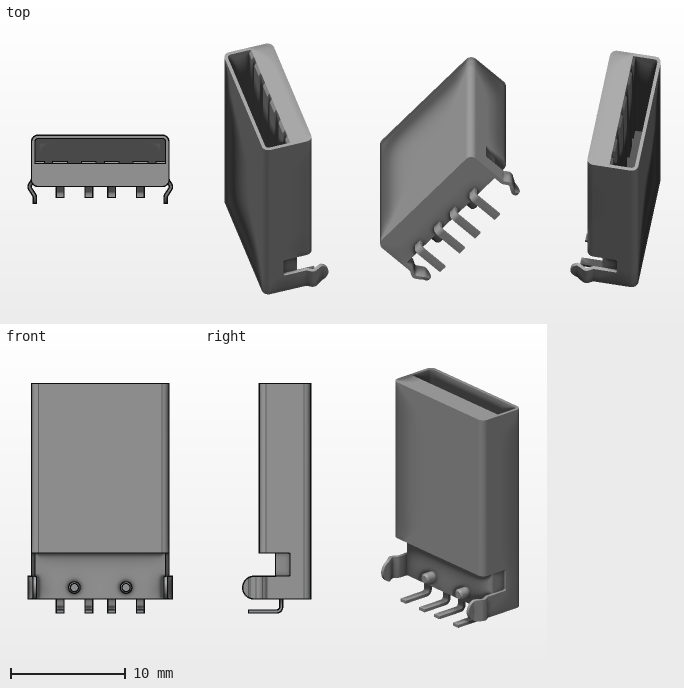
import cadquery as cq
import math


shell_width = 12.0
shell_depth = 4.5
shell_height = 18.8
shell_corner_radius = 0.6
wall = 0.3

cavity_back_corner_radius = shell_corner_radius - wall
cavity_front_y = 2.0
cavity_depth = 12.0

rib_thickness = 0.2
rib_chamfer_angle = math.radians(30)
rib_chamfer_height = rib_thickness / math.tan(rib_chamfer_angle)
rib_width = 1.3
end_rib_width = 0.85

foot_height = 4.0
foot_front_y = 1.4
window_back_y = 2.7
window_corner_radius = 0.15

peg_spacing = 4.5
peg_diameter = 1.0
peg_z = 1.0
peg_length = 1.0
peg_chamfer = 0.15

tab_height = 2.0
tab_span = 12.6
tab_tip_y = -1.45
tab_tip_x = 5.85
tab_apex_y = 0.0
tab_bend_angle = math.radians(32)
tab_inside_radius = 0.2
tab_outside_radius = tab_inside_radius + wall

tail_positions = (-3.5, -1.0, 1.0, 3.5)
tail_width = 0.7
tail_thickness = 0.28
tail_back_y = 2.05
tail_front_y = -0.95
tail_drop = 1.22
tail_inner_radius = 0.25

half_width = shell_width / 2
inner_half_width = half_width - wall


def block(x_range, y_range, z_range):
    """Box spanning the given (low, high) limits."""
    size = [high - low for low, high in (x_range, y_range, z_range)]
    corner = (x_range[0], y_range[0], z_range[0])
    return cq.Workplane("XY").box(*size, centered=False).translate(corner)


def make_body():
    """Shell and insulator as one rounded block."""
    body = block((-half_width, half_width), (0, shell_depth), (0, shell_height))
    return body.edges("|Z").fillet(shell_corner_radius)


def make_cavity():
    """Mating cavity with rounded back corners."""
    cavity = block(
        (-inner_half_width, inner_half_width),
        (cavity_front_y, shell_depth - wall),
        (shell_height - cavity_depth, shell_height),
    )
    return cavity.edges("|Z and >Y").fillet(cavity_back_corner_radius)


def make_rib(x_low, x_high):
    """Vertical rib on the front wall of the cavity, chamfered at the top."""
    rib = block(
        (x_low, x_high),
        (cavity_front_y, cavity_front_y + rib_thickness),
        (shell_height - cavity_depth, shell_height),
    )
    chamfer_profile = [
        (cavity_front_y, shell_height),
        (cavity_front_y + rib_thickness, shell_height),
        (cavity_front_y + rib_thickness, shell_height - rib_chamfer_height),
    ]
    chamfer = cq.Workplane("YZ", origin=(x_low, 0, 0)).polyline(chamfer_profile).close().extrude(x_high - x_low)
    return rib.cut(chamfer)


def make_foot_step():
    """Space in front of the insulator foot, below the front of the shell."""
    return block((-half_width, half_width), (0, foot_front_y), (0, foot_height))


def make_window(side):
    """Cutout through one shell side wall, open to the front; side is -1 or 1."""
    x_limits = sorted((side * inner_half_width, side * half_width))
    window = block(x_limits, (0, window_back_y), (tab_height, foot_height))
    return window.edges("|X and >Y").fillet(window_corner_radius)


def make_tab(side):
    """Round-tipped retention tab continuing one shell side wall; side is -1 or 1."""
    apex_x = tab_span / 2 + tab_outside_radius * (1 / math.cos(tab_bend_angle) - 1)
    apex_inner_x = apex_x - wall / math.cos(tab_bend_angle)
    root_y = tab_apex_y + (apex_x - half_width) / math.tan(tab_bend_angle)
    tip_bend_y = tab_apex_y - (apex_x - tab_tip_x) / math.tan(tab_bend_angle)
    inner_shift = wall * math.tan(tab_bend_angle / 2)

    root_outer = (half_width, root_y)
    root_inner = (inner_half_width, root_y - inner_shift)
    apex_outer = (apex_x, tab_apex_y)
    apex_inner = (apex_inner_x, tab_apex_y)
    tip_outer = (tab_tip_x, tip_bend_y)
    tip_inner = (tab_tip_x - wall, tip_bend_y + inner_shift)
    outline = [
        (half_width, foot_front_y),
        root_outer,
        apex_outer,
        tip_outer,
        (tab_tip_x, tab_tip_y),
        (tab_tip_x - wall, tab_tip_y),
        tip_inner,
        apex_inner,
        root_inner,
        (inner_half_width, foot_front_y),
    ]
    tab = cq.Workplane("XY").polyline([(side * x, y) for x, y in outline]).close().extrude(tab_height)

    bend_corners = (
        (tab_inside_radius, (root_outer, apex_inner, tip_outer)),
        (tab_outside_radius, (root_inner, apex_outer, tip_inner)),
    )
    for radius, corners in bend_corners:
        for x, y in corners:
            corner_edge = cq.selectors.NearestToPointSelector((side * x, y, tab_height / 2))
            tab = tab.edges("|Z").edges(corner_edge).fillet(radius)

    tip_radius = tab_height / 2
    round_end = (
        cq.Workplane("YZ", origin=(-shell_width, 0, 0))
        .moveTo(foot_front_y, 0)
        .lineTo(tab_tip_y + tip_radius, 0)
        .threePointArc((tab_tip_y, tip_radius), (tab_tip_y + tip_radius, tab_height))
        .lineTo(foot_front_y, tab_height)
        .close()
        .extrude(2 * shell_width)
    )
    return tab.intersect(round_end)


def make_peg(x):
    """Chamfered locating peg on the front of the foot."""
    peg = (
        cq.Workplane("XZ", origin=(x, foot_front_y, peg_z))
        .circle(peg_diameter / 2)
        .extrude(peg_length)
    )
    return peg.faces("<Y").chamfer(peg_chamfer)


def make_tail(x):
    """Contact tail dropping from the foot and bent forward."""
    profile = [
        (tail_back_y, 0),
        (tail_back_y, -tail_drop),
        (tail_front_y, -tail_drop),
        (tail_front_y, -tail_drop + tail_thickness),
        (tail_back_y - tail_thickness, -tail_drop + tail_thickness),
        (tail_back_y - tail_thickness, 0),
    ]
    tail = (
        cq.Workplane("YZ", origin=(x - tail_width / 2, 0, 0))
        .polyline(profile)
        .close()
        .extrude(tail_width)
    )
    inner_corner = (x, tail_back_y - tail_thickness, -tail_drop + tail_thickness)
    outer_corner = (x, tail_back_y, -tail_drop)
    tail = tail.edges(cq.selectors.NearestToPointSelector(inner_corner)).fillet(tail_inner_radius)
    outer_edge = cq.selectors.NearestToPointSelector(outer_corner)
    return tail.edges(outer_edge).fillet(tail_inner_radius + tail_thickness)


part = make_body().cut(make_cavity()).cut(make_foot_step())

for tail_x in tail_positions:
    part = part.union(make_rib(tail_x - rib_width / 2, tail_x + rib_width / 2))
    part = part.union(make_tail(tail_x))

part = part.union(make_rib(-inner_half_width, -inner_half_width + end_rib_width))
part = part.union(make_rib(inner_half_width - end_rib_width, inner_half_width))

for side in (-1, 1):
    part = part.cut(make_window(side))
    part = part.union(make_tab(side))
    part = part.union(make_peg(side * peg_spacing / 2))

result = part